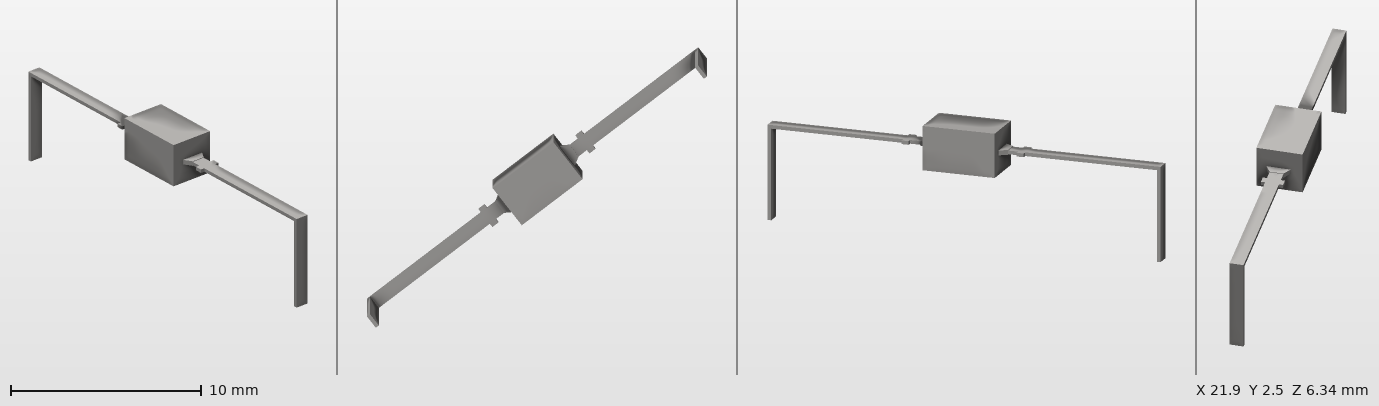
import cadquery as cq

overall_length = 21.91
overall_height = 6.34

body_length = 4.02
body_width = 2.5
body_height = 2.43

lead_width = 0.75
lead_thickness = 0.2
lead_offset_y = 0.05

tab_start = 3.01
tab_length = 0.4
tab_width = 1.2

neck_end = 2.46
neck_root_width = 1.3
neck_thickness = 0.265

body_end = body_length / 2
lead_end = overall_length / 2
leg_bottom = body_height / 2 - overall_height
lead_top = lead_thickness / 2


def make_body():
    return cq.Workplane("XY").box(body_length, body_width, body_height)


def make_neck():
    """Flat trapezoid on the +X side, narrowing from the body to the lead."""
    return (
        cq.Workplane("XY", origin=(0, lead_offset_y, -neck_thickness / 2))
        .moveTo(body_end, -neck_root_width / 2)
        .lineTo(neck_end, -lead_width / 2)
        .lineTo(neck_end, lead_width / 2)
        .lineTo(body_end, neck_root_width / 2)
        .close()
        .extrude(neck_thickness)
    )


def make_lead():
    """Ribbon on the +X side, bent sharply down at its far end, with a cross tab near the neck."""
    leg_inner = lead_end - lead_thickness
    ribbon = (
        cq.Workplane("XZ", origin=(0, lead_offset_y, 0))
        .moveTo(neck_end, lead_top)
        .lineTo(lead_end, lead_top)
        .lineTo(lead_end, leg_bottom)
        .lineTo(leg_inner, leg_bottom)
        .lineTo(leg_inner, -lead_top)
        .lineTo(neck_end, -lead_top)
        .close()
        .extrude(lead_width / 2, both=True)
    )
    tab_centre = (tab_start + tab_length / 2, lead_offset_y, 0)
    tab = cq.Workplane("XY").box(tab_length, tab_width, lead_thickness).translate(tab_centre)
    return ribbon.union(tab)


def both_sides(part):
    """The +X part and its mirror image on the -X side, as separate solids."""
    return [part.solids().val(), part.mirror("YZ").solids().val()]


body = make_body()
necks = both_sides(make_neck())
leads = both_sides(make_lead())

result = cq.Compound.makeCompound([body.val(), *necks, *leads])